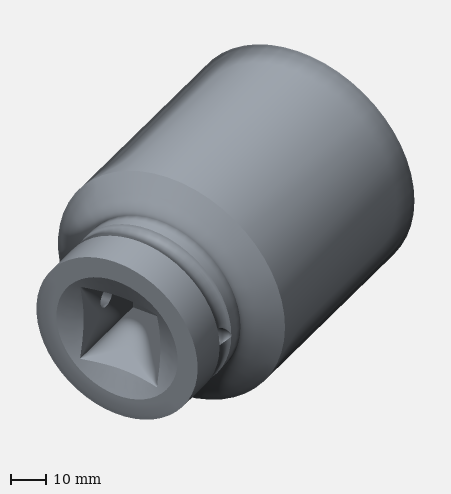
import math

import cadquery as cq

total_length = 100.0
body_radius = 38.0
neck_radius = 27.0
neck_length = 23.25
shoulder_angle = 60.0

groove_center_y = 15.1
groove_width = 6.4
groove_depth = 2.45

pin_hole_diameter = groove_width

drive_square = 25.7
drive_depth = 29.5
lead_in_radius = 20.3
lead_in_angle = 70.0

shoulder_length = (body_radius - neck_radius) / math.tan(math.radians(shoulder_angle))
body_start_y = neck_length + shoulder_length
lead_in_apex_depth = lead_in_radius / math.tan(math.radians(lead_in_angle))


def revolve_about_y(profile):
    return profile.close().revolve(360, (0, 0, 0), (0, 1, 0))


def make_body():
    """Neck, retaining-ring groove, conical shoulder and main cylinder."""
    profile = (
        cq.Workplane("XY")
        .lineTo(neck_radius, 0)
        .lineTo(neck_radius, groove_center_y - groove_width / 2)
        .threePointArc(
            (neck_radius - groove_depth, groove_center_y),
            (neck_radius, groove_center_y + groove_width / 2),
        )
        .lineTo(neck_radius, neck_length)
        .lineTo(body_radius, body_start_y)
        .lineTo(body_radius, total_length)
        .lineTo(0, total_length)
    )
    return revolve_about_y(profile)


def make_drive_square():
    """Blind square recess entering from the drive end."""
    return cq.Workplane("XY").box(
        drive_square, drive_depth, drive_square, centered=(True, False, True)
    )


def make_lead_in():
    """Conical countersink that opens the mouth of the square."""
    profile = cq.Workplane("XY").lineTo(lead_in_radius, 0).lineTo(0, lead_in_apex_depth)
    return revolve_about_y(profile)


def make_pin_hole():
    """Retaining-pin hole along X, right through the neck at the groove."""
    return (
        cq.Workplane("YZ")
        .center(groove_center_y, 0)
        .circle(pin_hole_diameter / 2)
        .extrude(neck_radius, both=True)
    )


result = make_body().cut(make_drive_square()).cut(make_lead_in()).cut(make_pin_hole())